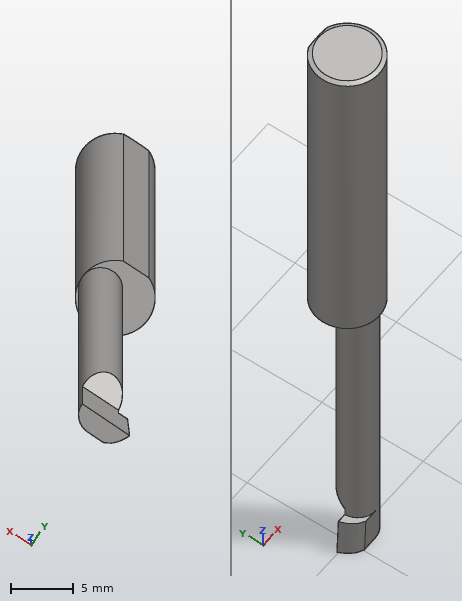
import cadquery as cq
import math

total_length = 63.49
neck_length = 31.75

shank_diameter = 6.35
shank_radius = shank_diameter / 2
shank_thickness = 6.1
shank_flat_y = shank_thickness - shank_radius
shank_chamfer_radial = 0.4
shank_chamfer_height = 0.2

neck_radius = 1.75
neck_x = shank_radius - neck_radius

relief_height = 4.5
runout_angle = 42
runout_rise = neck_radius * math.tan(math.radians(runout_angle))

head_height = 3.8
head_tip_x = -1.4
heel_x = -0.62
heel_y = -1.41
flank_bulge = 0.12
back_x = -0.08
side_clearance = 3
end_clearance_x = 2
end_clearance_y = 7


def make_rod(center_x, bottom_z, radius, length):
    """Vertical cylinder centred on Y = 0."""
    return cq.Workplane("XY", origin=(center_x, 0, bottom_z)).circle(radius).extrude(length)


def make_shank():
    """Round shank with a chamfered top end and one full-length flat."""
    shank_length = total_length - neck_length
    shank = make_rod(0, neck_length, shank_radius, shank_length)
    shank = shank.faces(">Z").chamfer(shank_chamfer_height, shank_chamfer_radial)
    beyond_flat = (
        cq.Workplane("XY", origin=(0, shank_flat_y, neck_length))
        .box(shank_diameter, shank_radius, shank_length, centered=(True, False, False))
    )
    return shank.cut(beyond_flat)


def make_neck():
    """Slim round neck, halved near the tip with a sloping run-out."""
    neck = make_rod(neck_x, 0, neck_radius, neck_length)
    relief = (
        cq.Workplane("YZ", origin=(neck_x, 0, 0))
        .moveTo(0, 0)
        .lineTo(neck_radius, 0)
        .lineTo(neck_radius, relief_height + runout_rise)
        .lineTo(0, relief_height)
        .close()
        .extrude(neck_radius, both=True)
    )
    return neck.cut(relief)


def head_section(height):
    """Closed head outline at a height; its flank moves to +X with height."""
    shift = height * math.tan(math.radians(side_clearance))
    middle_x = (head_tip_x + heel_x) / 2 - flank_bulge + shift
    middle_y = heel_y / 2
    return (
        cq.Workplane("XY", origin=(0, 0, height))
        .moveTo(head_tip_x + shift, 0)
        .threePointArc((middle_x, middle_y), (heel_x + shift, heel_y))
        .lineTo(back_x + shift, -neck_radius)
        .lineTo(neck_x, -neck_radius)
        .lineTo(neck_x, 0)
        .close()
        .val()
    )


def make_head():
    """Cutting head lofted between its end and top outlines."""
    return cq.Workplane(cq.Solid.makeLoft([head_section(0), head_section(head_height)], True))


def make_end_clearance():
    """Block below the end face, which only touches Z = 0 at the cutting tip."""
    block_size = 20
    block = cq.Workplane("XY").box(block_size, block_size, block_size, centered=(True, True, False))
    return (
        block.translate((0, 0, -block_size))
        .rotate((0, 0, 0), (1, 0, 0), -end_clearance_y)
        .rotate((0, 0, 0), (0, 1, 0), -end_clearance_x)
        .translate((head_tip_x, 0, 0))
    )


result = make_neck().union(make_head()).cut(make_end_clearance()).union(make_shank())